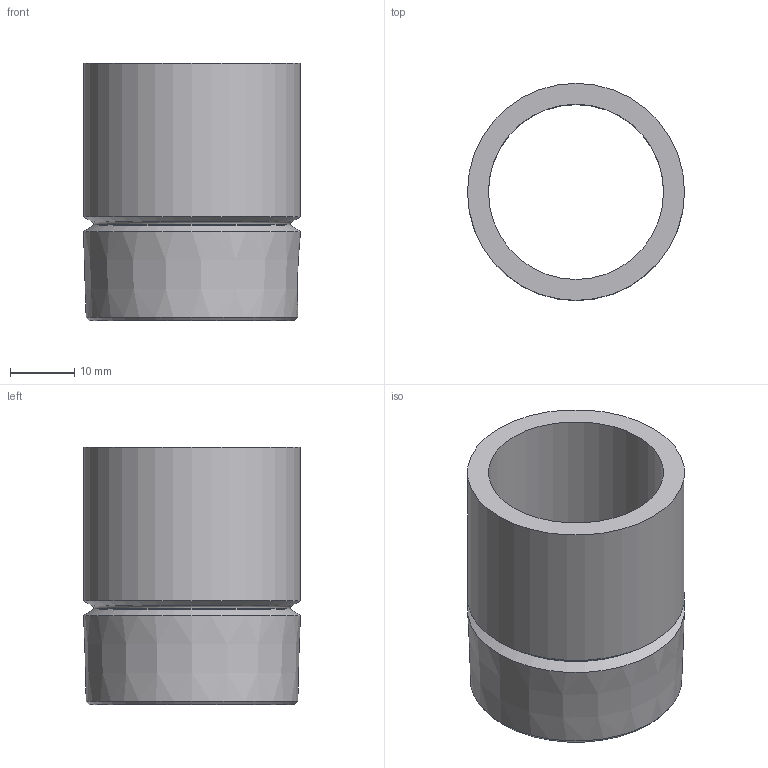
import cadquery as cq
import math

length = 40.0
outer_diameter = 33.7
wall_thickness = 3.25
outer_radius = outer_diameter / 2
bore_radius = outer_radius - wall_thickness

taper_slope = 1 / 32
taper_top = 13.86

chamfer_height = 0.55
chamfer_width = 0.45
chamfer_radius = outer_radius - (taper_top - chamfer_height) * taper_slope
end_radius = chamfer_radius - chamfer_width

root_radius = 15.27
land_bottom = 14.83
land_top = 15.0
upper_flank_angle = math.radians(30)
rounding = 0.42


def rounding_point(angle):
    """Point on the root arc, at an angle turned upwards from the land."""
    radius = root_radius + rounding * (1 - math.cos(angle))
    return radius, land_top + rounding * math.sin(angle)


arc_turn = math.pi / 2 - upper_flank_angle
arc_end = rounding_point(arc_turn)
groove_top = arc_end[1] + (outer_radius - arc_end[0]) * math.tan(upper_flank_angle)


def wall_section():
    """Section of the pipe wall on the -X side, as (radius, height) points."""
    section_plane = cq.Plane(origin=(0, 0, 0), xDir=(-1, 0, 0), normal=(0, 1, 0))
    return (
        cq.Workplane(section_plane)
        .moveTo(bore_radius, 0)
        .lineTo(end_radius, 0)
        .lineTo(chamfer_radius, chamfer_height)
        .lineTo(outer_radius, taper_top)
        .lineTo(root_radius, land_bottom)
        .lineTo(root_radius, land_top)
        .threePointArc(rounding_point(arc_turn / 2), arc_end)
        .lineTo(outer_radius, groove_top)
        .lineTo(outer_radius, length)
        .lineTo(bore_radius, length)
        .close()
    )


result = wall_section().revolve(360, (0, 0, 0), (0, 1, 0))